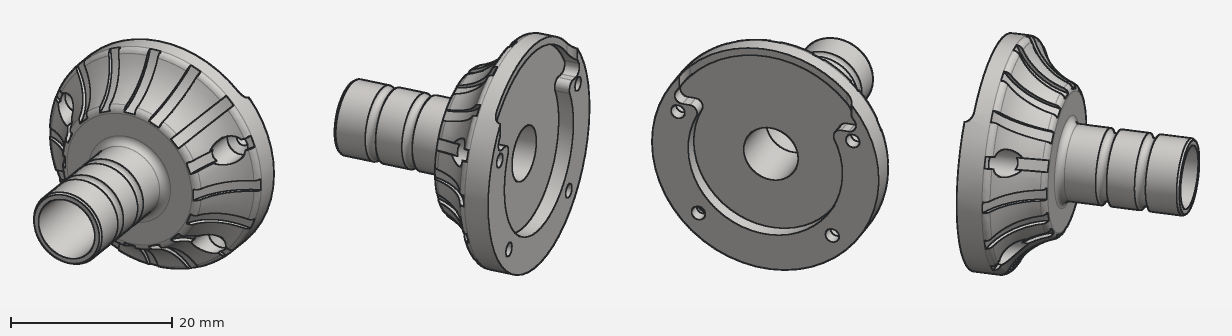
import cadquery as cq
import math


flange_radius = 15.0
face_depth = 10.02
flare_radius = 8.85
flare_center_radius = 18.25
flare_center_depth = 12.12
edge_fillet = 1.0

total_length = 25.8
tube_radius = 4.85
tube_bore_radius = 8.0 / 2
web_bore_radius = 7.2 / 2
tip_chamfer_length = 0.3
tip_chamfer_width = 0.2
ring_groove_radius = 0.72
ring_groove_floor_radius = 4.3
ring_groove_depths = (15.78, 20.8)

flute_count = 16
flute_width = 1.5
flute_depth = 0.5

screw_circle_radius = 12.5
screw_hole_radius = 1.8 / 2
screw_head_radius = 3.5 / 2
screw_head_seat_depth = 2.6
screw_angles = (22.5, 157.5, 225.0, 315.0)

cavity_depth = 2.0
cavity_radius = 10.2
cavity_wall_radius = 14.0
cavity_shelf_z = 6.0
cavity_corner_fillet = 1.0
notch_half_width = 11.37
notch_depth = 1.0


def cylinder(radius, start_depth, end_depth, x=0.0, z=0.0):
    """Cylinder parallel to Y between two depths measured from the flange back."""
    base = cq.Vector(x, -start_depth, z)
    return cq.Workplane(cq.Solid.makeCylinder(radius, end_depth - start_depth, base, cq.Vector(0, -1, 0)))


def turned_body():
    """Solid flange, flared hub and tube, without the bores."""
    flare_start_depth = flare_center_depth - math.sqrt(
        flare_radius**2 - (flare_center_radius - flange_radius) ** 2
    )
    flare_end_radius = flare_center_radius - math.sqrt(
        flare_radius**2 - (flare_center_depth - face_depth) ** 2
    )
    start_angle = math.atan2(flare_center_depth - flare_start_depth, flange_radius - flare_center_radius)
    end_angle = math.atan2(flare_center_depth - face_depth, flare_end_radius - flare_center_radius)
    middle_angle = (start_angle + end_angle) / 2
    flare_middle = (
        flare_center_radius + flare_radius * math.cos(middle_angle),
        -flare_center_depth + flare_radius * math.sin(middle_angle),
    )
    rim_and_face_edges = cq.selectors.BoxSelector((-0.3, -face_depth - 0.3, -0.3), (0.3, -0.3, 0.3))
    hub = (
        cq.Workplane("XY")
        .lineTo(flange_radius, 0)
        .lineTo(flange_radius, -flare_start_depth)
        .threePointArc(flare_middle, (flare_end_radius, -face_depth))
        .lineTo(0, -face_depth)
        .close()
        .revolve(360, (0, 0, 0), (0, 1, 0))
        .edges(rim_and_face_edges)
        .fillet(edge_fillet)
    )
    tube = (
        cq.Workplane("XY")
        .moveTo(0, -face_depth)
        .lineTo(tube_radius + edge_fillet, -face_depth)
        .radiusArc((tube_radius, -face_depth - edge_fillet), -edge_fillet)
        .lineTo(tube_radius, -total_length + tip_chamfer_length)
        .lineTo(tube_radius - tip_chamfer_width, -total_length)
        .lineTo(0, -total_length)
        .close()
        .revolve(360, (0, 0, 0), (0, 1, 0))
    )
    return hub.union(tube)


def ring_groove(depth):
    """Round-bottomed groove around the tube."""
    section_center_radius = ring_groove_floor_radius + ring_groove_radius
    return cq.Workplane(cq.Solid.makeTorus(
        section_center_radius, ring_groove_radius, cq.Vector(0, -depth, 0), cq.Vector(0, 1, 0)
    ))


def flute(angle):
    """Disc concentric with the flare arc that sinks a flat-bottomed flute into it."""
    return (
        cq.Workplane("XY")
        .center(flare_center_radius, -flare_center_depth)
        .circle(flare_radius + flute_depth)
        .extrude(flute_width / 2, both=True)
        .rotate((0, 0, 0), (0, 1, 0), angle)
    )


def screw_hole(angle):
    """Through hole with a 90 degree countersink and head clearance above it."""
    x = screw_circle_radius * math.cos(math.radians(angle))
    z = screw_circle_radius * math.sin(math.radians(angle))
    sink_height = screw_head_radius - screw_hole_radius
    sink = cq.Workplane(cq.Solid.makeCone(
        screw_head_radius, screw_hole_radius, sink_height,
        cq.Vector(x, -screw_head_seat_depth, z), cq.Vector(0, 1, 0),
    ))
    head = cylinder(screw_head_radius, screw_head_seat_depth, face_depth, x, z)
    return cylinder(screw_hole_radius, 0, face_depth, x, z).union(sink).union(head)


def cavity():
    """Round pocket in the back that widens to a thin rim wall above a shelf."""
    upper_region = (
        cq.Workplane("XY")
        .box(2 * flange_radius, 2 * flange_radius, flange_radius, centered=(True, True, False))
        .translate((0, 0, cavity_shelf_z))
    )
    shelf_corners = cq.selectors.BoxSelector(
        (-flange_radius, -flange_radius, cavity_shelf_z - 0.3),
        (flange_radius, flange_radius, cavity_shelf_z + 0.3),
    )
    return (
        cylinder(cavity_wall_radius, 0, cavity_depth)
        .intersect(upper_region)
        .union(cylinder(cavity_radius, 0, cavity_depth))
        .edges("|Y")
        .edges(shelf_corners)
        .fillet(cavity_corner_fillet)
    )


def rim_notch():
    """Shallow notch through the +Z rim, with quarter-round sides that run into its floor."""
    floor_half_width = notch_half_width - notch_depth
    return (
        cq.Workplane("XY")
        .moveTo(-notch_half_width, 0)
        .radiusArc((-floor_half_width, -notch_depth), -notch_depth)
        .lineTo(floor_half_width, -notch_depth)
        .radiusArc((notch_half_width, 0), -notch_depth)
        .close()
        .extrude(flange_radius)
        .translate((0, 0, cavity_shelf_z + cavity_corner_fillet))
    )


result = (
    turned_body()
    .cut(cavity())
    .cut(rim_notch())
    .cut(cylinder(web_bore_radius, 0, total_length))
    .cut(cylinder(tube_bore_radius, face_depth, total_length))
)
for groove_depth in ring_groove_depths:
    result = result.cut(ring_groove(groove_depth))
for flute_number in range(flute_count):
    result = result.cut(flute(flute_number * 360 / flute_count))
for screw_angle in screw_angles:
    result = result.cut(screw_hole(screw_angle))